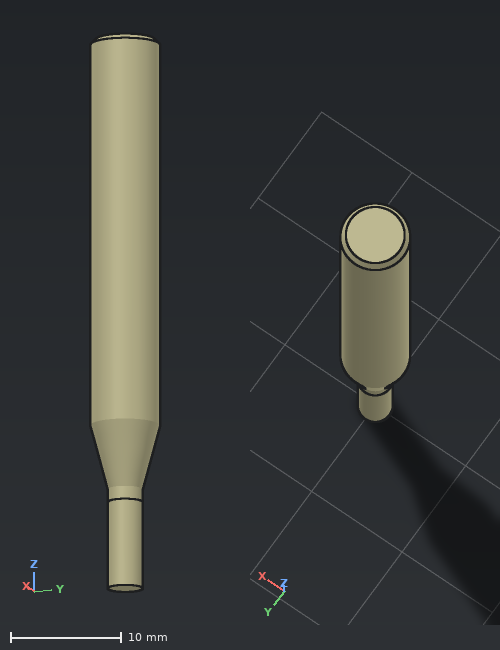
import cadquery as cq

total_length = 50.8
shank_diameter = 6.35
tip_diameter = 3.2

tip_length = 8.0
neck_top = 9.15
taper_top = 15.05

end_chamfer = 0.5

shank_radius = shank_diameter / 2
neck_radius = tip_diameter / 2


def make_shank():
    """Round shank with a chamfered end, tapering down to a short straight neck."""
    half_profile = [
        (0, tip_length),
        (neck_radius, tip_length),
        (neck_radius, neck_top),
        (shank_radius, taper_top),
        (shank_radius, total_length - end_chamfer),
        (shank_radius - end_chamfer, total_length),
        (0, total_length),
    ]
    axis_start = (0, 0)
    axis_end = (0, 1)
    return cq.Workplane("XZ").polyline(half_profile).close().revolve(360, axis_start, axis_end)


def make_tip():
    """Plain cylindrical cutting tip that butts against the neck of the shank."""
    return cq.Workplane("XY").circle(tip_diameter / 2).extrude(tip_length)


shank = make_shank()
tip = make_tip()

result = cq.Compound.makeCompound([shank.val(), tip.val()])